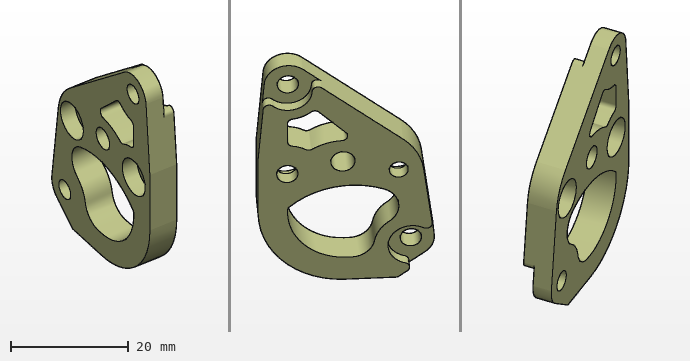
import cadquery as cq
import math

THICKNESS = 5.5
LUG_THICKNESS = 3.5
COUNTERBORE_DEPTH = 3.0
WIDTH = 30.2
HEIGHT = 44.7

LUG_RADIUS = 4.02
LUG_RELIEF_FILLET = 1.0
TOP_LUG = (25.0, HEIGHT - LUG_RADIUS)
LOW_LUG = (LUG_RADIUS, 6.9)

SHOULDER = (11.95, 21.85)
SHOULDER_RADIUS = 10.0
BELLY_RADIUS = 14.75
BELLY = (WIDTH - BELLY_RADIUS, BELLY_RADIUS)
FOOT_CORNER = (6.45, 0.0)
SIDE_CORNER = (WIDTH, 26.6)

LUG_HOLE_DIAMETER = 3.6
CENTER_HOLE = (15.75, 25.25)
CENTER_HOLE_DIAMETER = 4.1
LEFT_BOLT = (6.2, 23.05)
LEFT_BOLT_DIAMETER = 3.2
RIGHT_BOLT = (25.2, LEFT_BOLT[1])
RIGHT_BOLT_DIAMETER = 3.6
COUNTERBORE_DIAMETER = 7.0

INNER_RADIUS = 10.0
INNER_CENTER = (15.15, BELLY_RADIUS)
CROWN = (14.4, 4.75)
CROWN_RADIUS = 15.35
LOW_LUG_CLEARANCE = 6.45
WINDOW_ROUND = 4.0
WINDOW_TIP_ROUND = 0.65

RIGHT_WALL_X = 25.18
UPPER_BASE_Z = 24.6
DIAGONAL_RISE = 16.2
UPPER_CLEARANCE = 6.0
UPPER_ARCH = (15.55, 19.7)
UPPER_ARCH_RADIUS = 10.0
UPPER_ROUND = 1.0

OVERCUT = 0.45


def front_plane(y=0.0):
    return cq.Workplane("XZ", origin=(0, y, 0))


def disc(center, radius, start=0.0, end=THICKNESS):
    """Cylinder along Y between two depths."""
    return front_plane(start).center(*center).circle(radius).extrude(start - end)


def prism(points, start=0.0, end=THICKNESS):
    """Straight-sided prism along Y between two depths."""
    return front_plane(start).polyline(points).close().extrude(start - end)


def offset(point, direction, distance):
    return (point[0] + distance * direction[0], point[1] + distance * direction[1])


def tangent_normal(first, second):
    """Outward normal of the line touching two (center, radius) arcs, counterclockwise."""
    (x1, z1), r1 = first
    (x2, z2), r2 = second
    span = math.hypot(x2 - x1, z2 - z1)
    angle = math.atan2(z2 - z1, x2 - x1) - math.acos((r1 - r2) / span)
    return (math.cos(angle), math.sin(angle))


OUTLINE = [
    (FOOT_CORNER, 0.0),
    (BELLY, BELLY_RADIUS),
    (SIDE_CORNER, 0.0),
    (TOP_LUG, LUG_RADIUS),
    (SHOULDER, SHOULDER_RADIUS),
    (LOW_LUG, LUG_RADIUS),
]
NORMALS = [tangent_normal(OUTLINE[i - 1], corner) for i, corner in enumerate(OUTLINE)]


def plate():
    """Solid plate whose arcs are joined by their common tangents."""
    sketch = front_plane().moveTo(*FOOT_CORNER)
    for i, (center, radius) in enumerate(OUTLINE):
        if radius == 0:
            if i > 0:
                sketch = sketch.lineTo(*center)
            continue
        arriving = NORMALS[i]
        leaving = NORMALS[(i + 1) % len(OUTLINE)]
        bisector = (arriving[0] + leaving[0], arriving[1] + leaving[1])
        middle = offset(center, bisector, radius / math.hypot(*bisector))
        sketch = sketch.lineTo(*offset(center, arriving, radius))
        sketch = sketch.threePointArc(middle, offset(center, leaving, radius))
    return sketch.close().extrude(-THICKNESS)


def lug_relief(index):
    """Thin a lug from the back, leaving rounded horns where the wall meets each side."""
    center = OUTLINE[index][0]
    start, end = LUG_THICKNESS, THICKNESS + OVERCUT
    relief = disc(center, LUG_RADIUS, start, end)
    horn_inset = LUG_RADIUS - LUG_RELIEF_FILLET
    horn_reach = math.sqrt((LUG_RADIUS + LUG_RELIEF_FILLET) ** 2 - horn_inset**2)
    for normal, turn in ((NORMALS[index], -1), (NORMALS[(index + 1) % len(OUTLINE)], 1)):
        along = (-turn * normal[1], turn * normal[0])
        tangent_point = offset(center, normal, LUG_RADIUS + OVERCUT)
        horn = offset(offset(center, normal, horn_inset), along, horn_reach)
        side_end = offset(tangent_point, along, horn_reach)
        wedge = prism([center, tangent_point, side_end, horn], start, end)
        relief = relief.union(wedge.cut(disc(horn, LUG_RELIEF_FILLET, start, end)))
    return relief


def lower_window():
    """Crown arc over a round-ended opening, kept clear of the lower lug."""
    floor_z = INNER_CENTER[1] - INNER_RADIUS
    left_limit = -LUG_RADIUS
    left_part = prism([
        (left_limit, floor_z),
        (INNER_CENTER[0], floor_z),
        (INNER_CENTER[0], HEIGHT / 2),
        (left_limit, HEIGHT / 2),
    ])
    window = disc(INNER_CENTER, INNER_RADIUS).union(left_part)
    window = window.intersect(disc(CROWN, CROWN_RADIUS))
    window = window.cut(disc(LOW_LUG, LOW_LUG_CLEARANCE))
    tip = cq.selectors.BoxSelector(
        (INNER_CENTER[0] + INNER_RADIUS / 2, -OVERCUT, floor_z + INNER_RADIUS / 2),
        (WIDTH, THICKNESS + OVERCUT, HEIGHT),
    )
    window = window.edges("|Y").edges(tip).fillet(WINDOW_TIP_ROUND)
    lug_side = cq.selectors.BoxSelector(
        (left_limit, -OVERCUT, 0),
        (INNER_CENTER[0] - OVERCUT, THICKNESS + OVERCUT, HEIGHT),
    )
    return window.edges("|Y").edges(lug_side).fillet(WINDOW_ROUND)


def upper_window():
    """Triangle scalloped around the top lug, right bolt and lower arch."""
    window = prism([
        (UPPER_BASE_Z - DIAGONAL_RISE, UPPER_BASE_Z),
        (RIGHT_WALL_X, UPPER_BASE_Z),
        (RIGHT_WALL_X, RIGHT_WALL_X + DIAGONAL_RISE),
    ])
    window = window.cut(disc(TOP_LUG, UPPER_CLEARANCE))
    window = window.cut(disc(RIGHT_BOLT, UPPER_CLEARANCE))
    window = window.cut(disc(UPPER_ARCH, UPPER_ARCH_RADIUS))
    return window.edges("|Y").fillet(UPPER_ROUND)


result = plate()
for i, (corner_center, _) in enumerate(OUTLINE):
    if corner_center in (TOP_LUG, LOW_LUG):
        result = result.cut(lug_relief(i))

result = result.cut(lower_window()).cut(upper_window())

for hole_center, diameter in (
    (TOP_LUG, LUG_HOLE_DIAMETER),
    (LOW_LUG, LUG_HOLE_DIAMETER),
    (CENTER_HOLE, CENTER_HOLE_DIAMETER),
    (LEFT_BOLT, LEFT_BOLT_DIAMETER),
    (RIGHT_BOLT, RIGHT_BOLT_DIAMETER),
):
    result = result.cut(disc(hole_center, diameter / 2))

for bolt in (LEFT_BOLT, RIGHT_BOLT):
    result = result.cut(disc(bolt, COUNTERBORE_DIAMETER / 2, 0, COUNTERBORE_DEPTH))